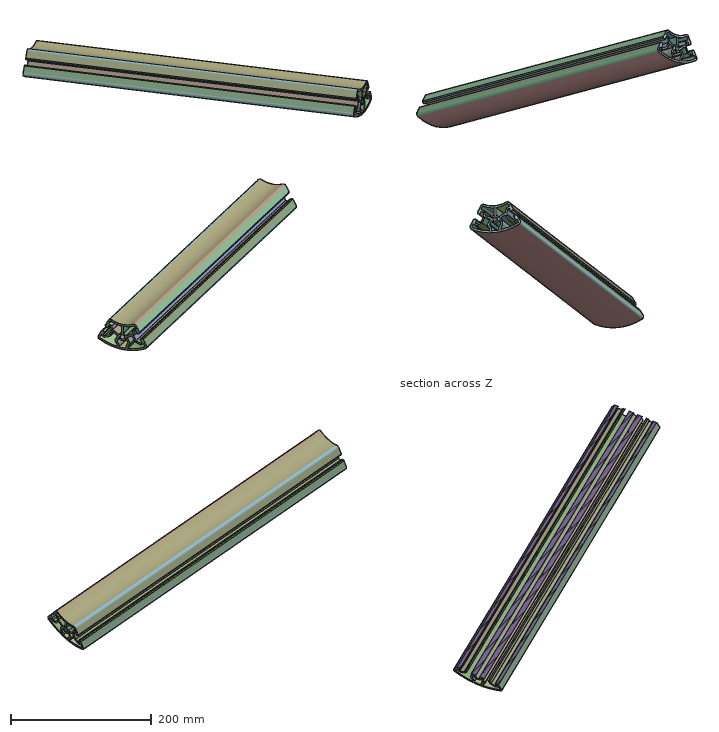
import cadquery as cq
import math

LENGTH = 500.0
INNER_RADIUS = 40.0
OUTER_RADIUS = 80.0
MIDDLE_RADIUS = (INNER_RADIUS + OUTER_RADIUS) / 2
HALF_ANGLE = math.radians(30.0)
CORNER_RADIUS = 4.0
WALL = 3.0

BORE_CENTER_Z = -MIDDLE_RADIUS
BORE_RADIUS = 3.4
BORE_RING_RADIUS = 6.0

LEG_TOP_Y = 6.0
LEG_KNEE_Y = 10.0
LEG_FOOT_Y = 7.0
LEG_KNEE_TOP_DROP = 6.5
LEG_KNEE_BOTTOM_DROP = 8.5
LEG_FOOT_DROP = 13.0

DIAGONAL_OFFSET = -6.0

SLOT_MOUTH_WIDTH = 8.5
SLOT_WIDTH = 19.0
SLOT_FLOOR_WIDTH = 8.0
SLOT_DEPTH = 12.0
LIP_THICKNESS = 5.0
MOUTH_CHAMFER = 1.5
SLOT_WALL = 2.5
TAPER_START = 7.5
MOUTH_OVERSHOOT = 5.0


def extrude(outline):
    return outline.extrude(LENGTH)


def profile_plane():
    return cq.Workplane("YZ").workplane(offset=-LENGTH / 2)


def cylinder(radius, y, z):
    return extrude(profile_plane().center(y, z).circle(radius))


def sector(inner_radius, outer_radius, side_inset, corner_radius):
    """Ring sector below the X axis, its flat sides moved inward by side_inset."""

    def corner(radius, side):
        angle = HALF_ANGLE - math.asin(side_inset / radius)
        return (side * radius * math.sin(angle), -radius * math.cos(angle))

    outline = (
        profile_plane()
        .moveTo(*corner(inner_radius, -1))
        .threePointArc((0, -inner_radius), corner(inner_radius, 1))
        .lineTo(*corner(outer_radius, 1))
        .threePointArc((0, -outer_radius), corner(outer_radius, -1))
        .close()
    )
    return extrude(outline).edges("|X").fillet(corner_radius)


def slot_point(depth, along):
    """(y, z) of a point at a depth below the +Y flat side and a distance along it from the slot centre."""
    radius = MIDDLE_RADIUS + along
    y = radius * math.sin(HALF_ANGLE) - depth * math.cos(HALF_ANGLE)
    z = -radius * math.cos(HALF_ANGLE) - depth * math.sin(HALF_ANGLE)
    return (y, z)


def slot_shape(half_outline):
    """Extrude an outline given as (depth, along) points of one half and mirrored about the slot axis."""
    other_half = [(depth, -along) for depth, along in reversed(half_outline)]
    points = [slot_point(depth, along) for depth, along in half_outline + other_half]
    return extrude(profile_plane().polyline(points).close())


def strip(points):
    """Wall of constant thickness along a path of (y, z) points, rounded at its ends and bends."""
    wall = cylinder(WALL / 2, *points[0])
    for (y0, z0), (y1, z1) in zip(points, points[1:]):
        run = math.hypot(y1 - y0, z1 - z0)
        tilt = math.degrees(math.atan2(z1 - z0, y1 - y0))
        bar = profile_plane().center((y0 + y1) / 2, (z0 + z1) / 2)
        bar = bar.transformed(rotate=(0, 0, tilt)).rect(run, WALL)
        wall = wall.union(extrude(bar)).union(cylinder(WALL / 2, y1, z1))
    return wall


def slot_wall():
    half_width = SLOT_WIDTH / 2
    taper_angle = math.atan2(half_width - SLOT_FLOOR_WIDTH / 2, SLOT_DEPTH - TAPER_START)
    shoulder = SLOT_WALL * math.tan(taper_angle / 2)
    floor_shift = SLOT_WALL * math.tan((math.pi / 2 - taper_angle) / 2)
    return slot_shape(
        [
            (0, half_width + SLOT_WALL),
            (TAPER_START + shoulder, half_width + SLOT_WALL),
            (SLOT_DEPTH + SLOT_WALL, SLOT_FLOOR_WIDTH / 2 + floor_shift),
        ]
    )


def slot_cavity():
    half_mouth = SLOT_MOUTH_WIDTH / 2
    return slot_shape(
        [
            (-MOUTH_OVERSHOOT, half_mouth + MOUTH_CHAMFER),
            (0, half_mouth + MOUTH_CHAMFER),
            (MOUTH_CHAMFER, half_mouth),
            (LIP_THICKNESS, half_mouth),
            (LIP_THICKNESS, SLOT_WIDTH / 2),
            (TAPER_START, SLOT_WIDTH / 2),
            (SLOT_DEPTH, SLOT_FLOOR_WIDTH / 2),
        ]
    )


def diagonal():
    start_depth = SLOT_DEPTH + SLOT_WALL / 2
    end_depth = MIDDLE_RADIUS * math.sin(HALF_ANGLE) - BORE_RING_RADIUS + WALL / 2
    return strip([slot_point(start_depth, DIAGONAL_OFFSET), slot_point(end_depth, DIAGONAL_OFFSET)])


def leg():
    return strip(
        [
            (LEG_TOP_Y, BORE_CENTER_Z),
            (LEG_KNEE_Y, BORE_CENTER_Z - LEG_KNEE_TOP_DROP),
            (LEG_KNEE_Y, BORE_CENTER_Z - LEG_KNEE_BOTTOM_DROP),
            (LEG_FOOT_Y, BORE_CENTER_Z - LEG_FOOT_DROP),
            (LEG_FOOT_Y, -OUTER_RADIUS + WALL / 2),
        ]
    )


def both_sides(shape):
    return shape.union(shape.mirror("XZ"))


envelope = sector(INNER_RADIUS, OUTER_RADIUS, 0, CORNER_RADIUS)
hollow = sector(INNER_RADIUS + WALL, OUTER_RADIUS - WALL, WALL, CORNER_RADIUS - WALL)
stem = strip([(0, -INNER_RADIUS - WALL / 2), (0, BORE_CENTER_Z + BORE_RING_RADIUS - WALL / 2)])
bore_ring = cylinder(BORE_RING_RADIUS, 0, BORE_CENTER_Z)
bore = cylinder(BORE_RADIUS, 0, BORE_CENTER_Z)

walls = both_sides(slot_wall().union(diagonal()).union(leg())).union(stem).union(bore_ring)
body = envelope.cut(hollow).union(walls.intersect(envelope))
result = body.cut(both_sides(slot_cavity())).cut(bore)